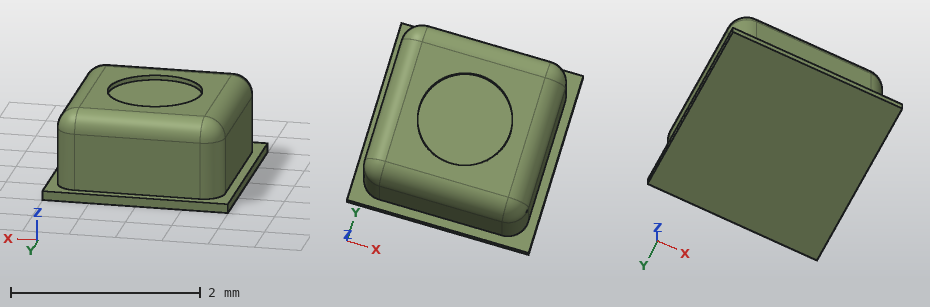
import cadquery as cq

base_side = 2
base_thickness = 0.1

housing_side = 1.8
overall_height = 0.95
housing_height = overall_height - base_thickness
edge_radius = 0.225

insert_diameter = 1
insert_recess = 0.05
insert_height = housing_height - insert_recess


def make_base():
    """Square plate with its underside at Z = 0."""
    return cq.Workplane("XY").box(base_side, base_side, base_thickness, centered=(True, True, False))


def make_housing():
    """Block with rounded upright and top edges and a round bore right through it."""
    block = (
        cq.Workplane("XY", origin=(0, 0, base_thickness))
        .rect(housing_side, housing_side)
        .extrude(housing_height)
    )
    rounded = block.edges("|Z or >Z").fillet(edge_radius)
    return rounded.faces(">Z").workplane(origin=(0, 0, overall_height)).hole(insert_diameter, housing_height)


def make_insert():
    """Cylinder that fills the bore from the base up to the recess."""
    return (
        cq.Workplane("XY", origin=(0, 0, base_thickness))
        .circle(insert_diameter / 2)
        .extrude(insert_height)
    )


base = make_base()
housing = make_housing()
insert = make_insert()

result = cq.Compound.makeCompound([base.val(), housing.val(), insert.val()])